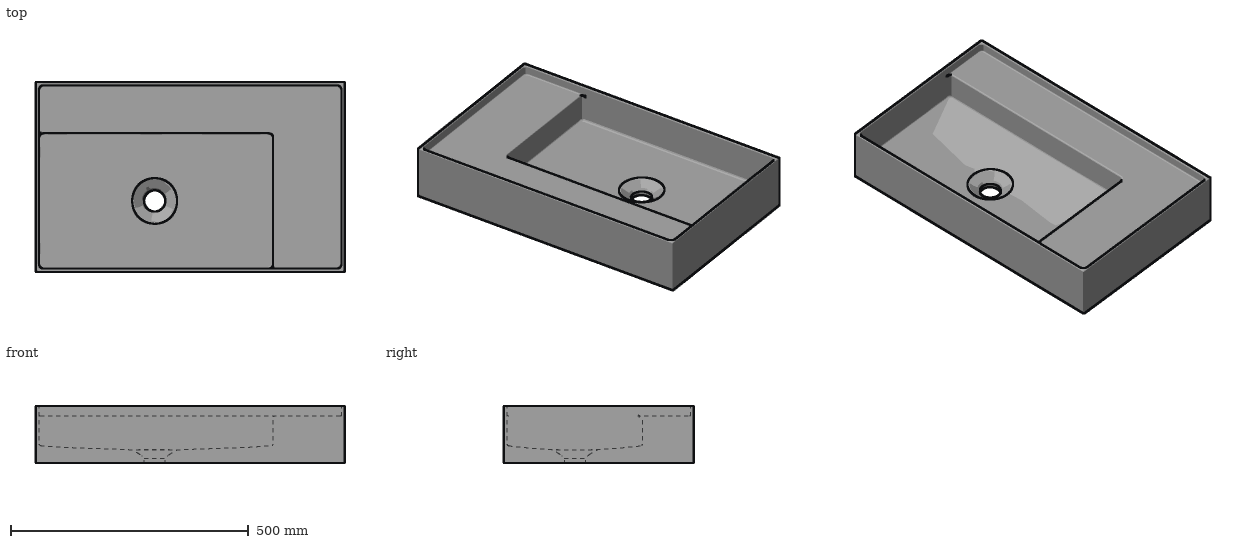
import cadquery as cq

LENGTH = 650.0
WIDTH = 400.0
HEIGHT = 120.0
EDGE_RADIUS = 2.5

RIM_WALL = 7.0
CORNER_RADIUS = 10.0
RIM_INNER_RADIUS = 4.0
SHELF_DEPTH = 21.5
SHELF_Z = HEIGHT - SHELF_DEPTH
SHELF_FOOT_RADIUS = 2.5

BOWL_RIGHT = 499.0
BOWL_BACK = 292.0
BOWL_LENGTH = BOWL_RIGHT - RIM_WALL
BOWL_WIDTH = BOWL_BACK - RIM_WALL
BOWL_CENTER_X = RIM_WALL + BOWL_LENGTH / 2
BOWL_CENTER_Y = RIM_WALL + BOWL_WIDTH / 2
BOWL_FOOT_RADIUS = 4.5
BOWL_LIP_RADIUS = 3.0

BOWL_FLOOR_Z = 36.5
FLOOR_FALL = 9.0
FLOOR_OVERLAP = 1.1
FLOOR_STEPS = 6
FLOOR_TOLERANCE = 0.001

DRAIN_X = 250.0
DRAIN_Y = 149.5
DRAIN_TOP_Z = 28.0
DRAIN_TOP_RADIUS = 48.0
FUNNEL_TOP_Z = 26.0
FUNNEL_TOP_RADIUS = 43.0
FUNNEL_BOTTOM_Z = 15.0
FUNNEL_BOTTOM_RADIUS = 26.5
THROAT_Z = 10.0
THROAT_RADIUS = 22.0


def rounded_prism(x_min, y_min, length, width, z_min, z_max, radius):
    """Upright prism with rounded vertical edges."""
    return (
        cq.Workplane("XY", origin=(x_min, y_min, z_min))
        .rect(length, width, centered=False)
        .extrude(z_max - z_min)
        .edges("|Z")
        .fillet(radius)
    )


def inside_rim(z_min, z_max):
    """Upright prism filling the space between the inner faces of the rim."""
    length = LENGTH - 2 * RIM_WALL
    width = WIDTH - 2 * RIM_WALL
    return rounded_prism(RIM_WALL, RIM_WALL, length, width, z_min, z_max, CORNER_RADIUS)


def inside_bowl(z_min, z_max):
    """Upright prism filling the space between the bowl walls."""
    return rounded_prism(RIM_WALL, RIM_WALL, BOWL_LENGTH, BOWL_WIDTH, z_min, z_max, CORNER_RADIUS)


def rim_recess():
    """Space above the shelf, rounded where the shelf meets the rim."""
    return inside_rim(SHELF_Z, HEIGHT).faces("<Z").edges().fillet(SHELF_FOOT_RADIUS)


def floor_point(u, v):
    """Point of the dished floor at u, v, which run from -1 to 1 between opposite bowl walls."""
    x = BOWL_CENTER_X + u * BOWL_LENGTH / 2
    y = BOWL_CENTER_Y + v * BOWL_WIDTH / 2
    z = BOWL_FLOOR_Z - FLOOR_FALL * (1 - u**2) * (1 - v**2)
    return cq.Vector(x, y, z)


def space_above_floor():
    """Column standing on the smooth dished floor, slightly wider than the bowl."""
    steps = [FLOOR_OVERLAP * i / FLOOR_STEPS for i in range(-FLOOR_STEPS, FLOOR_STEPS + 1)]
    points = [[floor_point(u, v) for v in steps] for u in steps]
    floor_face = cq.Face.makeSplineApprox(points, tol=FLOOR_TOLERANCE, minDeg=2, maxDeg=4)
    return cq.Workplane(cq.Solid.extrudeLinear(floor_face, cq.Vector(0, 0, HEIGHT)))


def bowl_pocket():
    """Bowl space below the shelf, with its dished floor rounded into the walls."""
    pocket = inside_bowl(0, SHELF_Z + SHELF_FOOT_RADIUS).intersect(space_above_floor())
    return pocket.faces("<Z").edges().fillet(BOWL_FOOT_RADIUS)


def bowl_lip():
    """Flared mouth that rounds the shelf edge but leaves the rim walls whole."""
    lip_bottom_z = SHELF_Z - 2 * BOWL_LIP_RADIUS
    plate = (
        cq.Workplane("XY", origin=(0, 0, lip_bottom_z))
        .rect(LENGTH, WIDTH, centered=False)
        .extrude(SHELF_Z - lip_bottom_z)
    )
    mouth_edges = cq.selectors.BoxSelector(
        (RIM_WALL / 2, RIM_WALL / 2, SHELF_Z - BOWL_LIP_RADIUS / 2),
        (BOWL_RIGHT + RIM_WALL, BOWL_BACK + RIM_WALL, SHELF_Z + BOWL_LIP_RADIUS / 2),
    )
    plate_with_mouth = plate.cut(inside_bowl(lip_bottom_z, SHELF_Z))
    plate_with_mouth = plate_with_mouth.edges(mouth_edges).fillet(BOWL_LIP_RADIUS)
    return plate.cut(plate_with_mouth).intersect(inside_rim(lip_bottom_z, SHELF_Z))


def drain():
    """Funnel and throat, open through the underside."""
    profile = [
        (0, 0),
        (THROAT_RADIUS, 0),
        (THROAT_RADIUS, THROAT_Z),
        (FUNNEL_BOTTOM_RADIUS, FUNNEL_BOTTOM_Z),
        (FUNNEL_TOP_RADIUS, FUNNEL_TOP_Z),
        (DRAIN_TOP_RADIUS, DRAIN_TOP_Z),
        (DRAIN_TOP_RADIUS, BOWL_FLOOR_Z),
        (0, BOWL_FLOOR_Z),
    ]
    return (
        cq.Workplane("XZ", origin=(DRAIN_X, DRAIN_Y, 0))
        .polyline(profile)
        .close()
        .revolve(360, (0, 0), (0, 1))
    )


def rimmed_block():
    """Block with rounded edges, hollowed down to the shelf inside a rounded rim."""
    block = cq.Workplane("XY").box(LENGTH, WIDTH, HEIGHT, centered=False)
    block = block.edges().fillet(EDGE_RADIUS)
    block = block.cut(rim_recess())
    rim_inner_edge = cq.selectors.BoxSelector(
        (RIM_WALL / 2, RIM_WALL / 2, HEIGHT - EDGE_RADIUS / 2),
        (LENGTH - RIM_WALL / 2, WIDTH - RIM_WALL / 2, HEIGHT + EDGE_RADIUS / 2),
    )
    return block.edges(rim_inner_edge).fillet(RIM_INNER_RADIUS)


result = rimmed_block().cut(bowl_pocket()).cut(bowl_lip()).cut(drain())